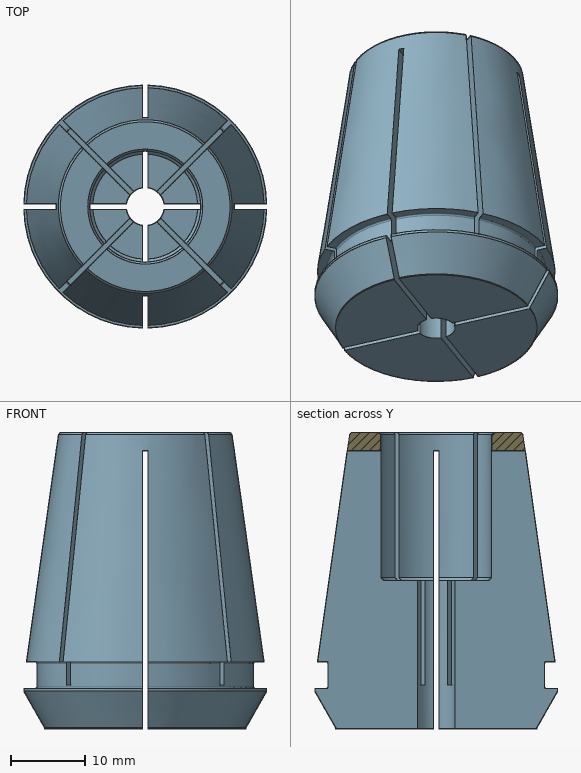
import cadquery as cq
import math

height = 40.0
base_radius = 13.6
base_rim_height = 0.15
flange_radius = 16.4
flange_edge = 5.1
flange_top = 5.45
groove_radius = 14.65
groove_top = 9.05
groove_corner_radius = 0.2
taper_large_radius = 16.05
taper_angle = 8.0
rim_chamfer = 0.3

hole_radius = 2.55
bore_radius = 7.5
bore_depth = 20.0
bore_mouth_chamfer = 0.3
bore_floor_chamfer = 0.4

slit_width = 0.7
base_slit_top = 37.5
top_slit_floor = 5.9
slit_pair_spacing = 90.0
top_slit_turn = 45.0


def make_body():
    """Solid of revolution: nose cone, flange, round-cornered groove and long taper."""
    taper_length = height - rim_chamfer - groove_top
    taper_small_radius = taper_large_radius - taper_length * math.tan(math.radians(taper_angle))
    rim_radius = taper_small_radius - rim_chamfer
    corner_end_radius = groove_radius + groove_corner_radius
    return (
        cq.Workplane("XZ")
        .lineTo(base_radius, 0)
        .lineTo(base_radius, base_rim_height)
        .lineTo(flange_radius, flange_edge)
        .lineTo(flange_radius, flange_top)
        .lineTo(corner_end_radius, flange_top)
        .radiusArc((groove_radius, flange_top + groove_corner_radius), groove_corner_radius)
        .lineTo(groove_radius, groove_top - groove_corner_radius)
        .radiusArc((corner_end_radius, groove_top), groove_corner_radius)
        .lineTo(taper_large_radius, groove_top)
        .lineTo(taper_small_radius, height - rim_chamfer)
        .lineTo(rim_radius, height)
        .lineTo(0, height)
        .close()
        .revolve(360, (0, 0), (0, 1))
    )


def make_bore():
    """Cutter for the through hole and the wide bore with its two chamfers."""
    bore_floor = height - bore_depth
    profile = [
        (0, 0),
        (hole_radius, 0),
        (hole_radius, bore_floor),
        (bore_radius - bore_floor_chamfer, bore_floor),
        (bore_radius, bore_floor + bore_floor_chamfer),
        (bore_radius, height - bore_mouth_chamfer),
        (bore_radius + bore_mouth_chamfer, height),
        (0, height),
    ]
    return cq.Workplane("XZ").polyline(profile).close().revolve(360, (0, 0), (0, 1))


def make_crossed_slits(bottom, top, turn):
    """Two thin plates crossing on the axis, between two heights."""
    length = 2 * flange_radius + slit_width
    plate = (
        cq.Workplane("XY")
        .workplane(offset=bottom)
        .rect(length, slit_width)
        .extrude(top - bottom)
        .rotate((0, 0, 0), (0, 0, 1), turn)
    )
    return plate.union(plate.rotate((0, 0, 0), (0, 0, 1), slit_pair_spacing))


base_slits = make_crossed_slits(0, base_slit_top, 0)
top_slits = make_crossed_slits(top_slit_floor, height, top_slit_turn)

result = make_body().cut(make_bore()).cut(base_slits).cut(top_slits)